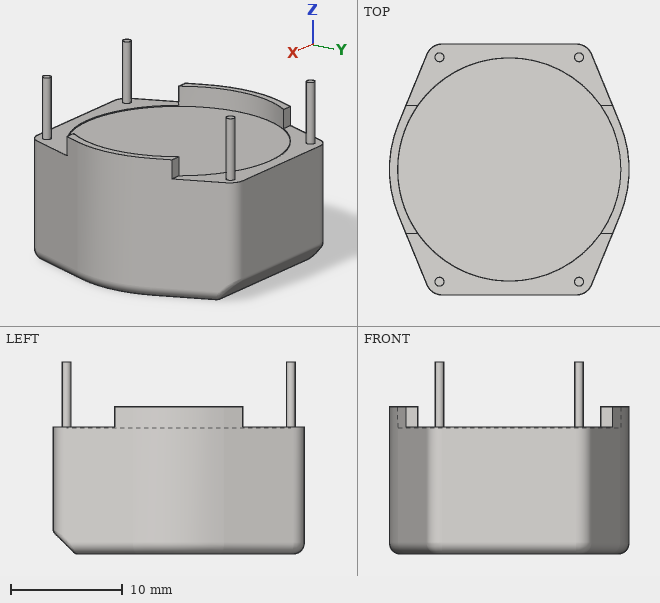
import cadquery as cq
import math

depth = 22.5
end_width = 14.0
side_radius = 10.75
corner_radius = 1.5
body_height = 11.4
rim_height = 13.2
rim_length = 11.5
cavity_diameter = 20.0
fill_recess = 0.1
bottom_fillet = 1.0
bevel_size = 2.0
bevel_fillet = 0.5
pin_diameter = 0.8
pin_spacing_x = 12.5
pin_spacing_y = 20.1
pin_top = 17.21

corner_x = end_width / 2
corner_y = depth / 2
corner_distance = math.hypot(corner_x, corner_y)
tangent_angle = math.atan2(corner_y, corner_x) - math.acos(side_radius / corner_distance)
tangent_x = side_radius * math.cos(tangent_angle)
tangent_y = side_radius * math.sin(tangent_angle)


def make_outline():
    """Sharp-cornered outline: flat ends, straight flanks and bowed sides."""
    return (
        cq.Workplane("XY")
        .moveTo(-corner_x, -corner_y)
        .lineTo(corner_x, -corner_y)
        .lineTo(tangent_x, -tangent_y)
        .threePointArc((side_radius, 0), (tangent_x, tangent_y))
        .lineTo(corner_x, corner_y)
        .lineTo(-corner_x, corner_y)
        .lineTo(-tangent_x, tangent_y)
        .threePointArc((-side_radius, 0), (-tangent_x, -tangent_y))
        .close()
    )


def make_body():
    """Full-height block with rounded corners and a rounded bottom edge."""
    block = make_outline().extrude(rim_height)
    for end_face in ("<Y", ">Y"):
        block = block.faces(end_face).edges("|Z").fillet(corner_radius)
    return block.faces("<Z").edges().fillet(bottom_fillet)


def bevel_end(body):
    """Cut a 45 degree bevel below the +Y end and round the edges of its face."""
    wedge = (
        cq.Workplane("YZ")
        .moveTo(corner_y - bevel_size, 0)
        .lineTo(corner_y, 0)
        .lineTo(corner_y, bevel_size)
        .close()
        .extrude(end_width, both=True)
    )
    bevel_face = cq.selectors.DirectionMinMaxSelector(cq.Vector(0, 1, -1))
    return body.cut(wedge).faces(bevel_face).edges().fillet(bevel_fillet)


def make_end_step(end):
    """Block that lowers one end beside the raised walls; end is +1 or -1 along Y."""
    step_height = rim_height - body_height
    return (
        cq.Workplane("XY", origin=(0, end * (rim_length + depth) / 2, body_height))
        .box(2 * side_radius, depth, step_height, centered=(True, True, False))
    )


def make_cavity():
    """Round opening above the filled cavity."""
    floor_height = body_height - fill_recess
    return (
        cq.Workplane("XY", origin=(0, 0, floor_height))
        .circle(cavity_diameter / 2)
        .extrude(rim_height - floor_height)
    )


def make_pins():
    """Four round pins standing on the corners of the body."""
    return (
        cq.Workplane("XY", origin=(0, 0, body_height))
        .rect(pin_spacing_x, pin_spacing_y, forConstruction=True)
        .vertices()
        .circle(pin_diameter / 2)
        .extrude(pin_top - body_height)
    )


result = bevel_end(make_body()).cut(make_cavity())
for end in (-1, 1):
    result = result.cut(make_end_step(end))
result = result.union(make_pins())